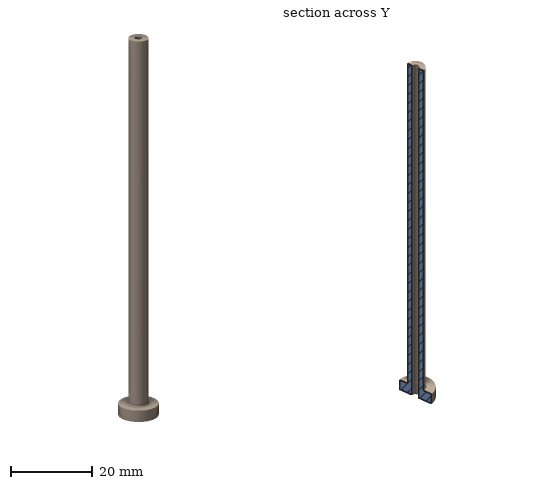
import cadquery as cq

total_length = 100.0
head_diameter = 10.0
head_height = 3.0
shank_diameter = 5.0
bore_diameter = 2.0
neck_fillet = 0.3

head = cq.Workplane("XY").circle(head_diameter / 2).extrude(head_height)
shank = cq.Workplane("XY").circle(shank_diameter / 2).extrude(total_length)
body = head.union(shank)

head_top = body.faces(cq.selectors.NearestToPointSelector((0, 0, head_height)))
neck_edge = cq.selectors.RadiusNthSelector(0)
body = head_top.edges(neck_edge).fillet(neck_fillet)

bore = cq.Workplane("XY").circle(bore_diameter / 2).extrude(total_length)
result = body.cut(bore)